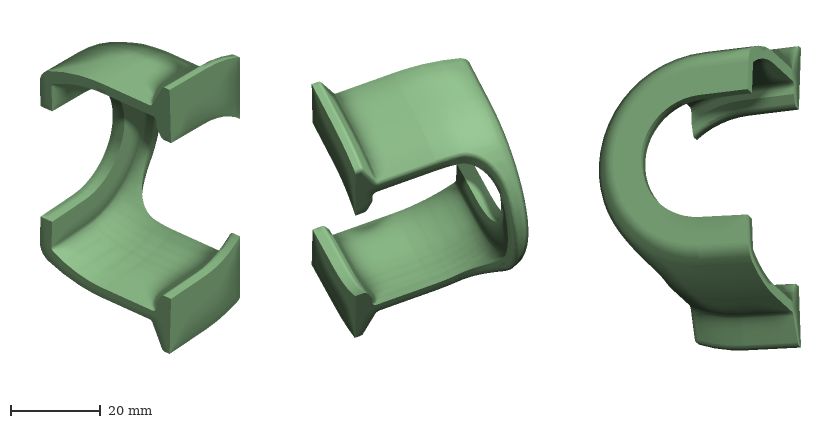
import cadquery as cq
import math

LENGTH = 38.4
HEIGHT = 69.72
END_Y = -11.45

LEG_SPLAY = 2.0
END_DRAFT = 2.0
LEG_STOCK = 20.0

HOLE_RADIUS = 14.2
WALL_EDGE_RADIUS = 20.68
CORNER_RADIUS = 24.66
BODY_RADIUS = 27.85
BODY_THICKNESS = 2.55
INNER_CORNER_RADIUS = 21.4
LIP_RADIUS = 20.17
LIP_SHOULDER_RADIUS = 22.62

WALL_THICKNESS = 3.4
CORNER_LENGTH = 2.57
CROWN_END = 18.6
FLANGE_FOOT = 32.9
FLANGE_TIP = 36.4
LIP_FACE = 34.26
LIP_TIP = 35.75

FLANGE_ROUND = 1.0
INNER_ROUND = 1.2
WALL_ROUND = 1.0
LIP_ROUND = 1.2

RELIEF_Y = 12.9
RELIEF_X = 5.35
RELIEF_ROUND = 8.0
RELIEF_EDGE_ROUND = 1.0

TOLERANCE = 0.001

BODY_INNER_RADIUS = BODY_RADIUS - BODY_THICKNESS
splay = math.radians(LEG_SPLAY)
RIM_RADIUS = HEIGHT / 2 * math.cos(splay) + END_Y * math.sin(splay)


def on_horizontal_arc(start, end):
    """Middle point of the arc from start that arrives at end running along X."""
    run = end[0] - start[0]
    rise = end[1] - start[1]
    radius = (run ** 2 + rise ** 2) / (2 * rise)
    half_turn = math.asin(run / radius) / 2
    return end[0] - radius * math.sin(half_turn), end[1] - radius * (1 - math.cos(half_turn))


def on_corner_arc(start, end):
    """Middle point of the arc that leaves start running radially and reaches end."""
    run = end[0] - start[0]
    rise = end[1] - start[1]
    radius = (run ** 2 + rise ** 2) / (2 * run)
    half_turn = math.asin(rise / radius) / 2
    return start[0] + radius * (1 - math.cos(half_turn)), start[1] + radius * math.sin(half_turn)


def cross_section():
    """Closed section in the XZ plane, with Z as the distance from the bend axis."""
    wall_edge = (0, WALL_EDGE_RADIUS)
    corner_end = (CORNER_LENGTH, CORNER_RADIUS)
    crown_end = (CROWN_END, BODY_RADIUS)
    inner_corner = (WALL_THICKNESS, INNER_CORNER_RADIUS)
    inner_crown_end = (CROWN_END, BODY_INNER_RADIUS)
    return (
        cq.Workplane("XZ")
        .moveTo(0, HOLE_RADIUS)
        .lineTo(*wall_edge)
        .threePointArc(on_corner_arc(wall_edge, corner_end), corner_end)
        .threePointArc(on_horizontal_arc(corner_end, crown_end), crown_end)
        .lineTo(FLANGE_FOOT, BODY_RADIUS)
        .lineTo(FLANGE_TIP, RIM_RADIUS)
        .lineTo(LENGTH, RIM_RADIUS)
        .lineTo(LENGTH, LIP_RADIUS)
        .lineTo(LIP_TIP, LIP_RADIUS)
        .lineTo(LIP_FACE, LIP_SHOULDER_RADIUS)
        .lineTo(LIP_FACE, BODY_INNER_RADIUS)
        .lineTo(*inner_crown_end)
        .threePointArc(on_horizontal_arc(inner_corner, inner_crown_end), inner_corner)
        .lineTo(WALL_THICKNESS, HOLE_RADIUS)
        .close()
    )


def rounded_section():
    """Cross-section face with its small corner rounds."""
    face = cq.Face.makeFromWires(cross_section().val())
    rounds = (
        (FLANGE_FOOT, BODY_RADIUS, FLANGE_ROUND),
        (FLANGE_TIP, RIM_RADIUS, FLANGE_ROUND),
        (LIP_TIP, LIP_RADIUS, LIP_ROUND),
        (LIP_FACE, BODY_INNER_RADIUS, INNER_ROUND),
        (WALL_THICKNESS, INNER_CORNER_RADIUS, WALL_ROUND),
    )
    for x, radius, size in rounds:
        corner = cq.Vector(x, 0, radius)
        nearest = min(face.Vertices(), key=lambda v: (cq.Vector(v.toTuple()) - corner).Length)
        face = face.fillet2D(size, [nearest])
    return face


def bend(section):
    """Section turned about the X axis from one leg to the other."""
    start = section.rotate(cq.Vector(0, 0, 0), cq.Vector(1, 0, 0), -LEG_SPLAY)
    turn = 180 - 2 * LEG_SPLAY
    return cq.Workplane(cq.Solid.revolve(start, turn, cq.Vector(0, 0, 0), cq.Vector(-1, 0, 0)))


def upper_leg(section):
    """Straight splayed leg above the bend axis, trimmed by its leaning end face."""
    stock = cq.Solid.extrudeLinear(section, cq.Vector(0, -LEG_STOCK, 0))
    stock = cq.Workplane(stock).rotate((0, 0, 0), (1, 0, 0), -LEG_SPLAY)
    trim = (
        cq.Workplane("XY")
        .box(2 * LENGTH, LEG_STOCK, 2 * HEIGHT)
        .translate((0, -LEG_STOCK / 2, 0))
        .rotate((0, 0, 0), (1, 0, 0), END_DRAFT)
        .translate((0, END_Y, HEIGHT / 2))
    )
    return stock.cut(trim)


def is_outer_relief_edge(edge):
    """True for an edge of the relief cut that lies wholly on the outside of the part."""
    ends = [vertex.toTuple() for vertex in edge.Vertices()]
    return all(
        y > RELIEF_Y - TOLERANCE and math.hypot(y, z) > BODY_INNER_RADIUS + TOLERANCE
        for x, y, z in ends
    )


def cut_relief(body):
    """Flatten the closed side of the bend and round the outer edge of the cut."""
    relief = (
        cq.Workplane("XY")
        .rect(LENGTH, HEIGHT, centered=False)
        .extrude(HEIGHT / 2, both=True)
        .edges("|Z and <X and <Y")
        .fillet(RELIEF_ROUND)
        .translate((RELIEF_X, RELIEF_Y, 0))
    )
    cut = body.cut(relief)
    rim = [edge for edge in cut.edges().vals() if is_outer_relief_edge(edge)]
    return cut.newObject(rim).fillet(RELIEF_EDGE_ROUND)


section = rounded_section()
leg = upper_leg(section)
bracket = bend(section).union(leg).union(leg.mirror("XY"))
result = cut_relief(bracket)